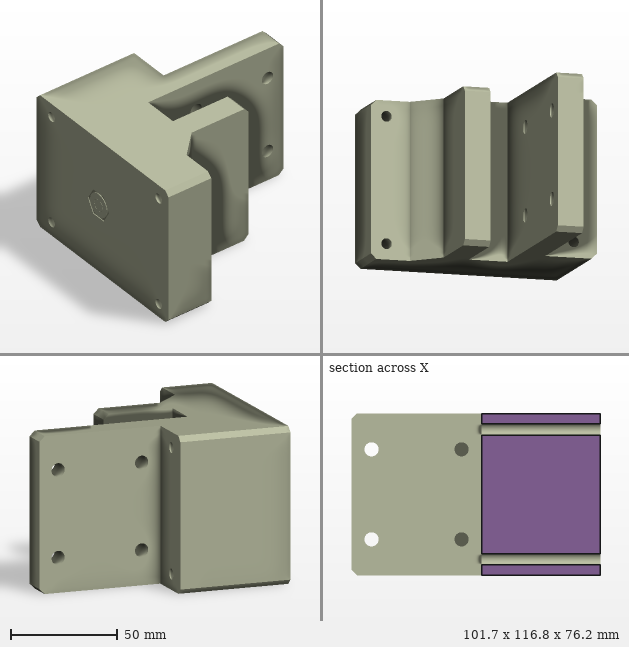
import cadquery as cq

length = 101.7
depth = 116.8
height = 76.2
corner_chamfer = 2.6

shoulder_width = 25.4
arm_thickness = 12.7
slot_width = 19.0
gusset_size = 12.7

shoulder_depth = 55.7
slot_floor = 36.8
short_arm_end = 71.7
foot_depth = 25.4

mount_hole_diameter = 5.1
mount_edge_left = 11.5
mount_edge_right = 7.6
mount_edge_vertical = 7.6

arm_hole_diameter = 6.7
arm_hole_end_distance = 9.3
arm_hole_spacing = 42.3

nut_across_corners = 16.1
nut_face_diameter = 13.0
bolt_diameter = 6.8
nut_recess_depth = 0.5
bolt_gap = 0.1

long_arm_right = shoulder_width + arm_thickness
short_arm_left = long_arm_right + slot_width
short_arm_right = short_arm_left + arm_thickness
slot_center = long_arm_right + slot_width / 2
mid_height = height / 2


def make_body():
    """Plan outline raised to the full height."""
    outline = [
        (0, 0),
        (length, 0),
        (length, foot_depth),
        (short_arm_right + gusset_size, foot_depth),
        (short_arm_right, foot_depth + gusset_size),
        (short_arm_right, short_arm_end),
        (short_arm_left, short_arm_end),
        (short_arm_left, slot_floor),
        (long_arm_right, slot_floor),
        (long_arm_right, depth),
        (shoulder_width, depth),
        (shoulder_width, shoulder_depth),
        (0, shoulder_depth),
    ]
    return cq.Workplane("XY").polyline(outline).close().extrude(height)


def chamfer_ends(body):
    """Bevel the top and bottom edges of both block sides and both arm ends."""
    half_arm = arm_thickness / 2
    end_points = [
        (0, shoulder_depth / 2),
        (length, foot_depth / 2),
        (shoulder_width + half_arm, depth),
        (short_arm_left + half_arm, short_arm_end),
    ]
    for x, y in end_points:
        for z in (0, height):
            edge = cq.selectors.NearestToPointSelector((x, y, z))
            body = body.edges(edge).chamfer(corner_chamfer)
    return body


def cylinder_along_y(x, z, diameter, cylinder_depth):
    """Cylinder reaching from the mounting face into the block."""
    return (
        cq.Workplane("XZ", origin=(x, 0, z))
        .circle(diameter / 2)
        .extrude(-cylinder_depth)
    )


def cut_mount_holes(body):
    """Four holes right through the block from the mounting face."""
    for x in (mount_edge_left, length - mount_edge_right):
        for z in (mount_edge_vertical, height - mount_edge_vertical):
            body = body.cut(cylinder_along_y(x, z, mount_hole_diameter, depth))
    return body


def cut_arm_holes(body):
    """Square pattern of four holes through the long arm only."""
    last_y = depth - arm_hole_end_distance
    for y in (last_y - arm_hole_spacing, last_y):
        for z in (mid_height - arm_hole_spacing / 2, mid_height + arm_hole_spacing / 2):
            hole = (
                cq.Workplane("YZ", origin=(shoulder_width, y, z))
                .circle(arm_hole_diameter / 2)
                .extrude(arm_thickness)
            )
            body = body.cut(hole)
    return body


def cut_nut_outline(body):
    """Hexagonal recess around a round nut face, with a fine gap around the bolt end."""
    recess = (
        cq.Workplane("XZ", origin=(slot_center, 0, mid_height))
        .polygon(6, nut_across_corners)
        .extrude(-nut_recess_depth)
    )
    nut_face = cylinder_along_y(slot_center, mid_height, nut_face_diameter, nut_recess_depth)
    bolt_hole = cylinder_along_y(
        slot_center, mid_height, bolt_diameter, nut_recess_depth
    )
    bolt_end = cylinder_along_y(
        slot_center, mid_height, bolt_diameter - 2 * bolt_gap, nut_recess_depth
    )
    return body.cut(recess.cut(nut_face)).cut(bolt_hole.cut(bolt_end))


result = make_body()
result = chamfer_ends(result)
result = cut_mount_holes(result)
result = cut_arm_holes(result)
result = cut_nut_outline(result)